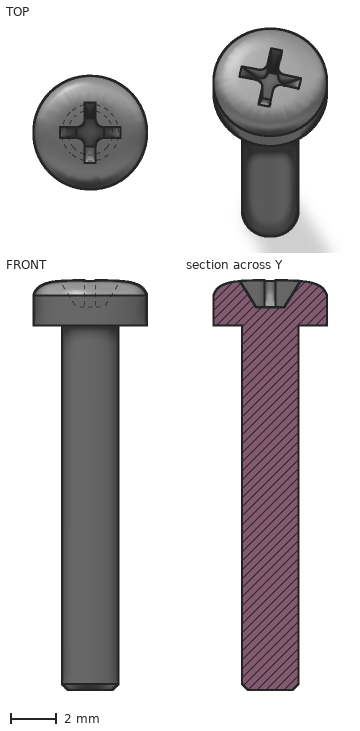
import cadquery as cq

total_length = 18
head_diameter = 5.0
head_height = 2.0
shank_diameter = 2.5
tip_chamfer = 0.27

dome_height = head_height / 3
crown_control_radius = 1.53
shoulder_control_radius = 2.27

recess_span = 2.7
recess_floor_span = 1.22
recess_depth = 1.19
arm_width = 0.49
inner_corner_radius = 0.32


def screw_body():
    """Revolve the half outline of head and shank about the Z axis."""
    head_radius = head_diameter / 2
    shank_radius = shank_diameter / 2
    dome_curve = [
        (0, 0),
        (crown_control_radius, 0),
        (shoulder_control_radius, 0),
        (head_radius, -dome_height),
    ]
    return (
        cq.Workplane("XZ")
        .bezier(dome_curve)
        .lineTo(head_radius, -head_height)
        .lineTo(shank_radius, -head_height)
        .lineTo(shank_radius, -total_length + tip_chamfer)
        .lineTo(shank_radius - tip_chamfer, -total_length)
        .lineTo(0, -total_length)
        .close()
        .revolve(360, (0, 0), (0, 1))
    )


def recess_arm_pair():
    """Make one tapered bar spanning two opposite arms along X."""
    return (
        cq.Workplane("XZ")
        .moveTo(-recess_span / 2, 0)
        .lineTo(recess_span / 2, 0)
        .lineTo(recess_floor_span / 2, -recess_depth)
        .lineTo(-recess_floor_span / 2, -recess_depth)
        .close()
        .extrude(arm_width / 2, both=True)
    )


def recess_center():
    """Make the square core whose corners are hollowed to round the arm junctions."""
    core_width = arm_width + 2 * inner_corner_radius
    core = cq.Workplane("XY").rect(core_width, core_width).extrude(-recess_depth)
    corner_posts = (
        cq.Workplane("XY")
        .rect(core_width, core_width, forConstruction=True)
        .vertices()
        .circle(inner_corner_radius)
        .extrude(-recess_depth)
    )
    return core.cut(corner_posts)


arm_pair = recess_arm_pair()
crossed_arm_pair = arm_pair.rotate((0, 0, 0), (0, 0, 1), 90)
recess = arm_pair.union(crossed_arm_pair).union(recess_center())

result = screw_body().cut(recess)